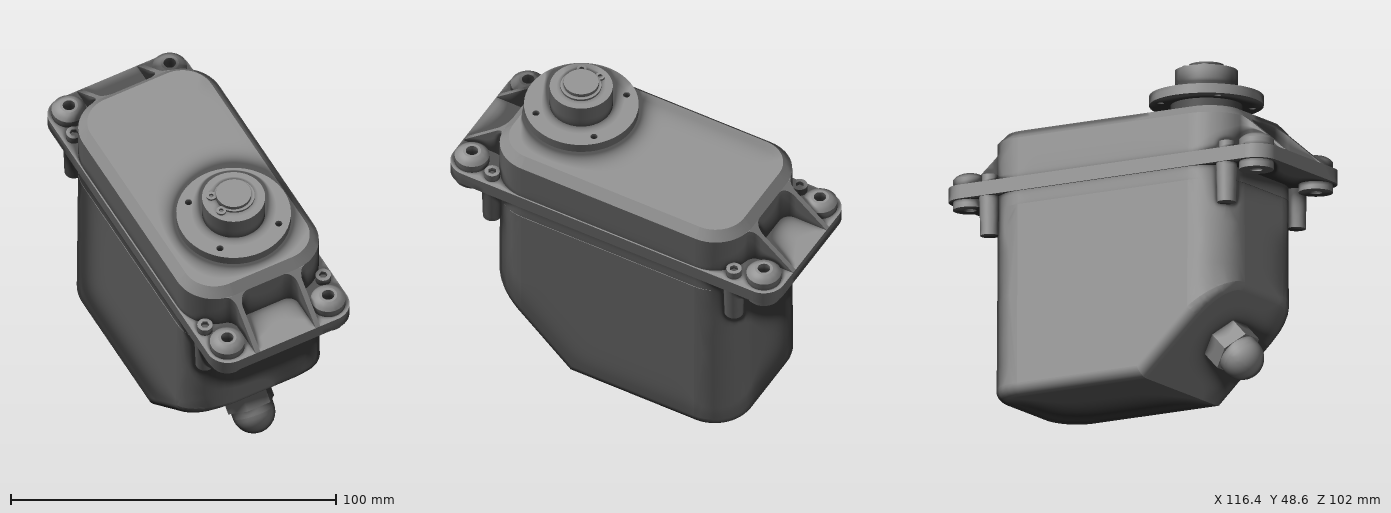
import cadquery as cq
import math

case_height = 60.0
plate_bottom = 64.3
plate_top = 68.8
lid_top = 83.9
boss_top = 84.6
horn_top = 102.0

plate_length = 116.4
plate_width = 48.4
plate_corner = 6.9

lid_length = 87.0
lid_width = 47.5
lid_corner = 12.8
lid_chamfer = 2.8
lid_shoulder = lid_top - lid_chamfer

case_length = 87.4
case_width = 48.6
case_corner = 13.1
draft_angle = 0.4
bottom_fillet = 3.5

bevel_start_x = 13.8
bevel_angle = 42.5

gland_offset = 21.5
nut_across_flats = 13.8
nut_height = 6.6
cap_radius = 6.7
cap_straight = 2.2
gland_embed = 1.2

rib_thickness = 1.6
rib_spacing = 21.0
rib_fillet = 3.5
rib_root_margin = 0.6

grommet_x = 51.4
grommet_y = 17.6
grommet_radius = 5.4
grommet_bottom = 61.9
grommet_rim = 71.3
grommet_top = 73.1
grommet_flat_radius = 2.8
grommet_bulge_radius = 4.4
grommet_bulge_height = 72.3
mount_hole_diameter = 3.8

screw_x = 42.6
screw_y = 20.6
screw_head_diameter = 4.8
screw_head_top = 71.3
socket_diameter = 2.7
socket_depth = 1.4
post_top_radius = 3.3
post_bottom_radius = 2.9
post_bottom = 52.1

output_x = 22.8
boss_diameter = 17.7
collar_diameter = 22.1
disc_diameter = 35.3
disc_bottom = 89.2
disc_top = 92.3
hub_diameter = 19.4
hub_top = 100.2
shaft_diameter = 10.8
disc_hole_offset = 10.2
disc_hole_diameter = 2.2

ring_diameter = 12.6
ring_thickness = 0.7
ring_offset_y = 0.2
ring_gap = 3.5
ring_lug_x = 3.3
ring_lug_y = -6.0
ring_lug_diameter = 3.0
ring_hole_diameter = 1.4


def four_corners(x, y):
    return [(sx * x, sy * y) for sx in (-1, 1) for sy in (-1, 1)]


def cylinder(diameter, bottom, top, centre=(0, 0)):
    return (
        cq.Workplane("XY", origin=(*centre, bottom))
        .circle(diameter / 2)
        .extrude(top - bottom)
    )


def rounded_block(length, width, radius, bottom, top):
    return (
        cq.Workplane("XY", origin=(0, 0, bottom))
        .rect(length, width)
        .extrude(top - bottom)
        .edges("|Z")
        .fillet(radius)
    )


def bevel_plane(offset):
    """Plane on the sloped corner, normal pointing out of the case, offset up the slope."""
    angle = math.radians(bevel_angle)
    origin = (bevel_start_x + offset * math.cos(angle), 0, offset * math.sin(angle))
    return cq.Plane(origin=origin, xDir=(0, -1, 0), normal=(math.sin(angle), 0, -math.cos(angle)))


def make_case():
    """Drafted tub with one sloped lower corner and a rounded bottom rim."""
    outline = cq.Sketch().rect(case_length, case_width).vertices().fillet(case_corner)
    case = cq.Workplane("XY").placeSketch(outline).extrude(case_height, taper=draft_angle)
    corner_cut = (
        cq.Workplane(bevel_plane(0))
        .rect(2 * case_width, 2 * case_length)
        .extrude(case_length)
    )
    case = case.cut(corner_cut)
    slope = cq.selectors.ParallelDirSelector(bevel_plane(0).zDir)
    rim = case.faces("<Z").edges("not >X").add(case.faces(slope).edges("not <X"))
    return rim.fillet(bottom_fillet)


def make_gland():
    """Hexagonal nut with a domed cap, standing square to the sloped corner."""
    base = cq.Workplane(bevel_plane(gland_offset))
    nut = (
        base.workplane(offset=-gland_embed)
        .polygon(6, nut_across_flats / math.cos(math.pi / 6))
        .extrude(nut_height + gland_embed)
    )
    cap = base.workplane(offset=nut_height).circle(cap_radius).extrude(cap_straight)
    dome = base.workplane(offset=nut_height + cap_straight).sphere(cap_radius)
    return nut.union(cap).union(dome)


def make_lid():
    lid = rounded_block(lid_length, lid_width, lid_corner, case_height, lid_top)
    lid = lid.faces(">Z").chamfer(lid_chamfer)
    plate = rounded_block(plate_length, plate_width, plate_corner, plate_bottom, plate_top)
    return lid.union(plate)


def make_ribs():
    """Sloped webs from the plate ends up to the lid shoulder, filleted into the lid walls."""
    blank = rounded_block(lid_length, lid_width, lid_corner, plate_bottom, lid_shoulder)
    for side in (-1, 1):
        bar = (
            cq.Workplane("XY", origin=(0, side * rib_spacing / 2, plate_bottom))
            .rect(plate_length, rib_thickness)
            .extrude(lid_shoulder - plate_bottom)
        )
        blank = blank.union(bar)
    rib_outer_y = (rib_spacing + rib_thickness) / 2
    for end in (-1, 1):
        root_region = cq.selectors.BoxSelector(
            (end * (lid_length / 2 - rib_root_margin), -rib_outer_y - rib_root_margin, plate_bottom),
            (end * (lid_length / 2 + rib_root_margin), rib_outer_y + rib_root_margin, lid_shoulder),
        )
        blank = blank.edges("|Z").edges(root_region).fillet(rib_fillet)
    roof = (
        cq.Workplane("XZ")
        .polyline([
            (-plate_length / 2, plate_bottom),
            (-plate_length / 2, plate_top),
            (-lid_length / 2, lid_shoulder),
            (lid_length / 2, lid_shoulder),
            (plate_length / 2, plate_top),
            (plate_length / 2, plate_bottom),
        ])
        .close()
        .extrude(lid_width / 2, both=True)
    )
    return blank.intersect(roof)


def make_grommet(centre):
    """Bushing through the plate, with a convex top and a flat rim around its hole."""
    profile = (
        cq.Workplane("XZ")
        .moveTo(0, grommet_bottom)
        .lineTo(grommet_radius, grommet_bottom)
        .lineTo(grommet_radius, grommet_rim)
        .threePointArc(
            (grommet_bulge_radius, grommet_bulge_height),
            (grommet_flat_radius, grommet_top),
        )
        .lineTo(0, grommet_top)
        .close()
    )
    return profile.revolve(360, (0, 0, 0), (0, 1, 0)).translate((*centre, 0))


def make_screw_post(centre):
    head = cylinder(screw_head_diameter, plate_bottom, screw_head_top, centre)
    socket = (
        cq.Workplane("XY", origin=(*centre, screw_head_top - socket_depth))
        .polygon(6, socket_diameter)
        .extrude(socket_depth)
    )
    post = (
        cq.Workplane("XY", origin=(*centre, plate_bottom))
        .circle(post_top_radius)
        .workplane(offset=post_bottom - plate_bottom)
        .circle(post_bottom_radius)
        .loft()
    )
    return post.union(head).cut(socket)


def make_housing():
    housing = make_case().union(make_gland()).union(make_lid()).union(make_ribs())
    housing = housing.union(cylinder(boss_diameter, lid_shoulder, boss_top, (output_x, 0)))
    for centre in four_corners(screw_x, screw_y):
        housing = housing.union(make_screw_post(centre))
    for centre in four_corners(grommet_x, grommet_y):
        mount_hole = cylinder(mount_hole_diameter, grommet_bottom, grommet_top, centre)
        housing = housing.union(make_grommet(centre)).cut(mount_hole)
    return housing


def make_retaining_ring():
    ring_top = hub_top + ring_thickness
    ring = cylinder(ring_diameter, hub_top, ring_top, (0, ring_offset_y))
    gap = (
        cq.Workplane("XY", origin=(0, ring_lug_y, hub_top))
        .rect(ring_gap, ring_diameter / 2)
        .extrude(ring_thickness)
    )
    ring = ring.cut(gap)
    lug_centres = [(-ring_lug_x, ring_lug_y), (ring_lug_x, ring_lug_y)]
    for centre in lug_centres:
        ring = ring.union(cylinder(ring_lug_diameter, hub_top, ring_top, centre))
    for centre in lug_centres:
        ring = ring.cut(cylinder(ring_hole_diameter, hub_top, ring_top, centre))
    return ring


def make_horn():
    """Output horn resting on the lid boss: collar, drilled disc, hub, retaining ring and shaft end."""
    horn = (
        cylinder(collar_diameter, boss_top, disc_bottom)
        .union(cylinder(disc_diameter, disc_bottom, disc_top))
        .union(cylinder(hub_diameter, disc_top, hub_top))
        .union(make_retaining_ring())
        .union(cylinder(shaft_diameter, hub_top, horn_top))
    )
    for centre in four_corners(disc_hole_offset, disc_hole_offset):
        horn = horn.cut(cylinder(disc_hole_diameter, disc_bottom, disc_top, centre))
    return horn.translate((output_x, 0, 0))


housing = make_housing()
horn = make_horn()
result = cq.Compound.makeCompound([housing.val(), horn.val()])